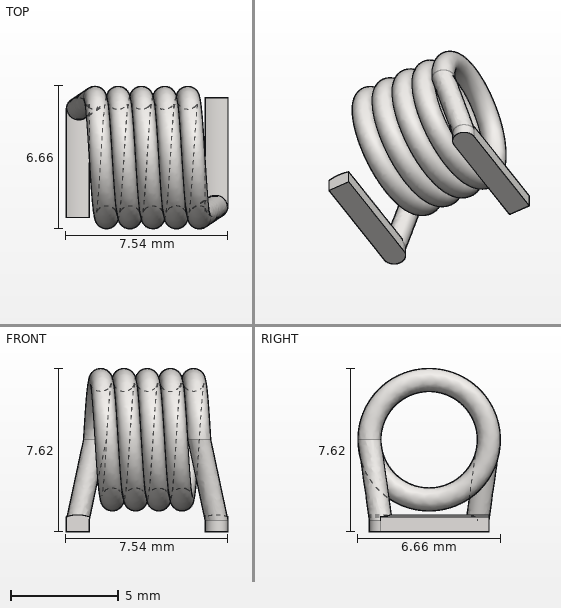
import cadquery as cq

wire_diameter = 1.075
pitch = 1.08
turns = 4.5
coil_radius = 2.79
overall_height = 7.62
overall_length = 7.54

foot_end_height = 0.53
foot_side_height = 0.7
foot_crown_height = 0.79
foot_round_y = 2.255
foot_flat_y = -2.8

wire_radius = wire_diameter / 2
coil_length = pitch * turns
axis_height = overall_height - coil_radius - wire_radius
foot_x = -(overall_length - wire_diameter) / 2


def make_coil():
    """Sweep the wire from the +Y side over the top, ending at the -Y side."""
    start_plane = cq.Plane(origin=(-coil_length / 2, 0, axis_height), xDir=(0, 1, 0), normal=(1, 0, 0))
    helix = cq.Wire.makeHelix(pitch, coil_length, coil_radius).moved(cq.Location(start_plane))
    section = cq.Workplane("XY", origin=(-coil_length / 2, coil_radius, axis_height)).circle(wire_radius)
    return section.sweep(cq.Workplane(obj=helix), isFrenet=True)


def make_leg():
    """Slanted leg from the rounded foot end up to the start of the coil."""
    return (
        cq.Workplane("XY", origin=(foot_x, foot_round_y, foot_end_height))
        .circle(wire_radius)
        .workplane(offset=axis_height - foot_end_height)
        .center(-coil_length / 2 - foot_x, coil_radius - foot_round_y)
        .circle(wire_radius)
        .loft(ruled=True)
    )


def make_foot():
    """Bar with a crowned top and a lower, rounded end below the leg."""
    bar = (
        cq.Workplane("XZ", origin=(foot_x, foot_round_y, 0))
        .moveTo(-wire_radius, 0)
        .lineTo(wire_radius, 0)
        .lineTo(wire_radius, foot_side_height)
        .threePointArc((0, foot_crown_height), (-wire_radius, foot_side_height))
        .close()
        .extrude(foot_round_y - foot_flat_y)
    )
    rounded_end = (
        cq.Workplane("XY", origin=(foot_x, foot_round_y, 0)).circle(wire_radius).extrude(foot_end_height)
    )
    return bar.union(rounded_end)


start_terminal = make_foot().union(make_leg())
end_terminal = start_terminal.rotate((0, 0, 0), (0, 0, 1), 180)

result = make_coil().union(start_terminal).union(end_terminal)